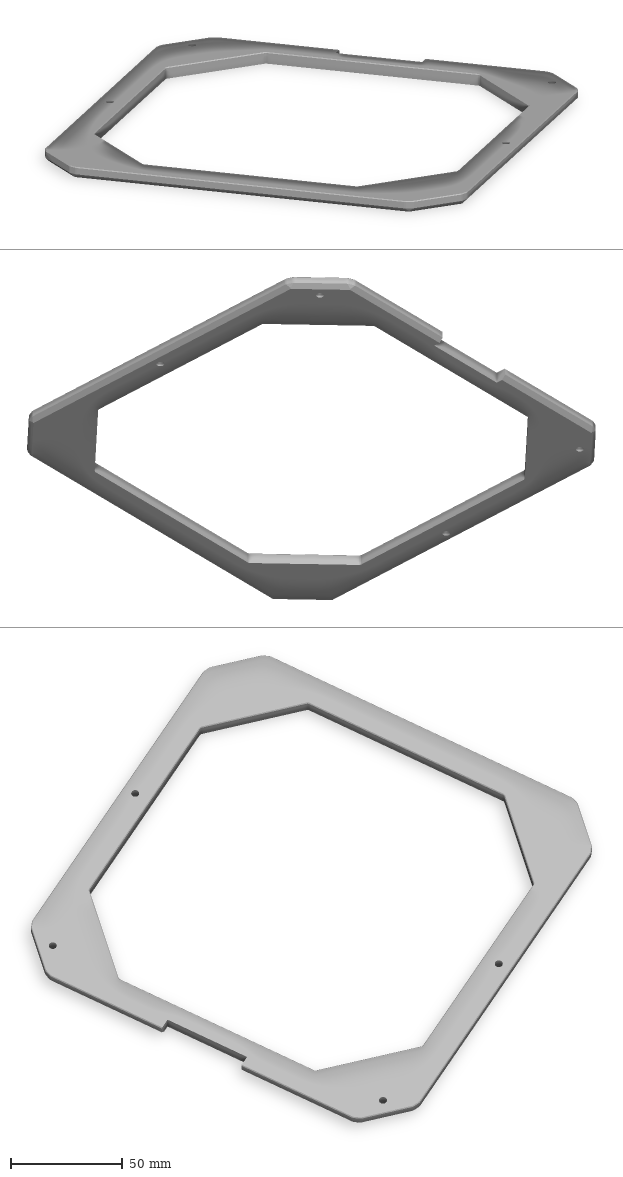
import cadquery as cq
import math

side = 200.0
thickness = 5.5
corner_cut = 20.0
bottom_chamfer = 2.0
edge_break = 0.5

vertex_chamfer = 2.0
facet_foot_drop = 1.7
turn_angle = 45.0

border = 14.0
window_side = side - 2 * border
window_corner_cut = 35.5

notch_width = 41.0
notch_depth = 5.2

hole_diameter = 3.5
corner_hole_offset = 85.2
side_hole_x = 93.8
side_hole_y = -5.0


def clipped_square(width, cut):
    """Plate-thick square prism with its four corners cut off at 45 degrees."""
    half = width / 2
    flat = half - cut
    outline = [
        (flat, half), (half, flat), (half, -flat), (flat, -half),
        (-flat, -half), (-half, -flat), (-half, flat), (-flat, half),
    ]
    return cq.Workplane("XY").polyline(outline).close().extrude(thickness)


def break_edges(body):
    """Small chamfer on the top rim and on all upright edges."""
    return body.edges("|Z or >Z").chamfer(edge_break)


def vertex_cutter():
    """Wedge that blunts one outline vertex at the origin, with +X pointing outward.

    It cuts an upright facet above the bottom chamfer, then leans inward to end in a
    triangle whose tip lies on the ridge between two bottom chamfer faces.
    """
    half_turn = math.radians(turn_angle / 2)
    facet_x = -vertex_chamfer * math.sin(half_turn)
    tip_x = -facet_foot_drop / math.cos(half_turn)
    foot_x = facet_x + (tip_x - facet_x) * bottom_chamfer / facet_foot_drop
    outer_x = vertex_chamfer
    profile = [
        (facet_x, thickness), (facet_x, bottom_chamfer), (foot_x, 0),
        (outer_x, 0), (outer_x, thickness),
    ]
    cutter_width = 4 * vertex_chamfer
    return cq.Workplane("XZ").polyline(profile).close().extrude(cutter_width / 2, both=True)


def make_blank():
    """Solid plate with a bevelled bottom rim and blunted outline vertices."""
    half = side / 2
    flat = half - corner_cut
    blank = clipped_square(side, corner_cut).faces("<Z").edges().chamfer(bottom_chamfer)
    for x, y, outward_angle in [
        (half, flat, turn_angle / 2),
        (flat, half, 90 - turn_angle / 2),
    ]:
        cutter = vertex_cutter().rotate((0, 0, 0), (0, 0, 1), outward_angle).translate((x, y, 0))
        for quarter in range(4):
            blank = blank.cut(cutter.rotate((0, 0, 0), (0, 0, 1), 90 * quarter))
    return blank


def make_notch():
    """Block that opens the middle of the +Y rim through the full thickness."""
    return (
        cq.Workplane("XY")
        .center(0, (side - notch_depth) / 2)
        .rect(notch_width, notch_depth)
        .extrude(thickness)
    )


def make_holes():
    """Pins for the two corner holes and the two side holes."""
    centres = []
    for sign in (-1, 1):
        centres.append((sign * corner_hole_offset, corner_hole_offset))
        centres.append((sign * side_hole_x, side_hole_y))
    return cq.Workplane("XY").pushPoints(centres).circle(hole_diameter / 2).extrude(thickness)


frame = break_edges(make_blank().cut(clipped_square(window_side, window_corner_cut)))
result = frame.cut(make_notch()).cut(make_holes())